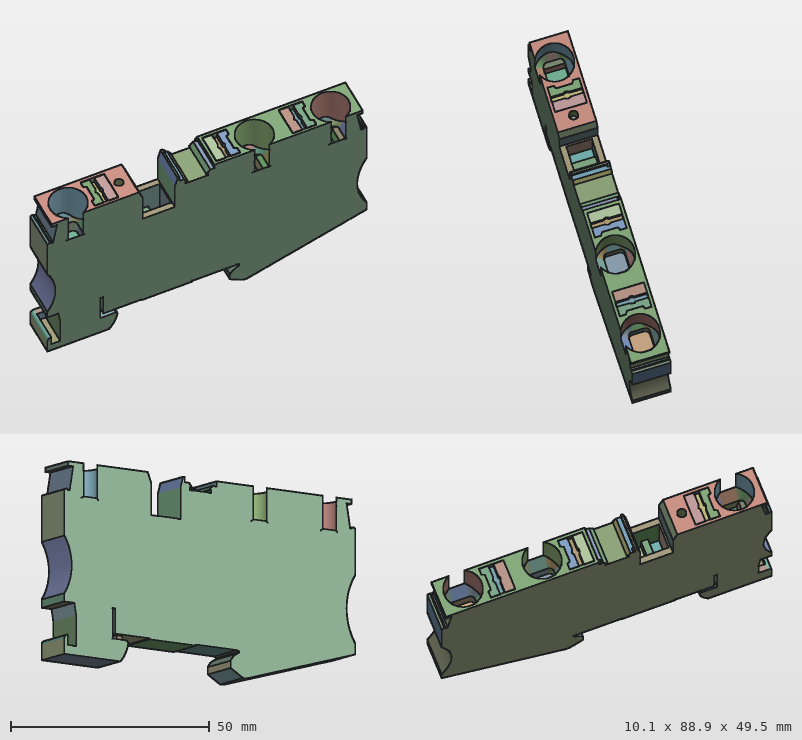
import cadquery as cq
import math

THICKNESS = 10.1
LENGTH = 88.9
HEIGHT = 49.5
SIDE = THICKNESS / 2
END = LENGTH / 2

LIP_Y = 43.3
LIP_BOTTOM = HEIGHT - 1.2
NECK_TOP_Y = 41.8
NECK_BOTTOM_Y = 42.85
SHELF_Z = 42.1
RIDGE_Y = 43.7
RIDGE_HEIGHT = 0.4

SCALLOP_TOP = 30.3
BACK_SCALLOP_BOTTOM = 12.6
BACK_SCALLOP_DEPTH = 2.7
FRONT_SCALLOP_BOTTOM = 15.6
FRONT_SCALLOP_DEPTH = 2.2

RAIL_SEAT_Z = 6.9
SEAT_PAD_HEIGHT = 0.3
SEAT_PAD_Y = (-4.2, -18.4)
BACK_CORNER_Z = 10.0
SPRING_SLOT_Y = (-28.9, -29.7)
NOTCH_CEILING_Z = 13.4
FOOT_HOOK_Z = 5.6
FOOT_TIP_Y = -24.9
FOOT_TIP_CHAMFER = 0.5
FOOT_HEEL_Y = -27.3
FOOT_CURVE_POINT = (-25.6, 2.6)
BACK_HOOK_MOUTH = [(8.2, RAIL_SEAT_Z), (9.0, 6.7), (8.8, 6.2)]
BACK_HOOK_CURVE_POINT = (7.4, 5.4)
BACK_HOOK_NOSE_Y = 6.3
BACK_HOOK_NOSE_Z = (4.0, 2.1)
BACK_FOOT_FLAT_Y = (10.05, 11.1)
FOOT_TOP_Z = 5.1
FOOT_EDGE_RADIUS = 1.1
FOOT_WALL_Y = -40.9
FOOT_WALL_KNEE_Z = 10.4
FOOT_WALL_LEAN = 0.5

CHANNEL_FLOOR_Z = 46.3
CHANNEL_UNDERCUT = 0.7
CHANNEL_STEP_Z = 48.2
CHANNEL_BACK_Y = 2.05
CHANNEL_FRONT_Y = -7.65
CHANNEL_FLOOR_Y = (0.4, -6.05)
BACK_STEP_EDGE_Y = 0.9
FRONT_STEP_EDGE_Y = -6.4
UNDERCUT_REACH = 0.6
CATCH_WIDTH = 0.8
CATCH_REACH = 0.6
BRIDGE_SLOT_FLOOR = 38.6
BRIDGE_SLOT_BACK_Y = -9.0
BRIDGE_SLOT_FRONT_Y = -17.9
BRIDGE_SLOT_BEVEL_Z = 46.7
BACK_BEVEL = 0.8
FRONT_BEVEL = 1.2

CORE_WIDTH = 6.8
POCKET_Y = (-17.3, -9.25)
POCKET_DEPTH = 10.7
BAR_Y = (-14.3, -12.45)
BAR_DROP = 7.1

WIRE_ENTRIES = [(36.5, 1), (15.3, 1), (-36.5, -1)]
ENTRY_X = 0.5
ENTRY_RADIUS = 5.0
ENTRY_DEPTH = 8.0
FUNNEL_DEPTH = 4.45
FUNNEL_TAPER = 30.0
THROAT_WIDTH = 5.6
THROAT_INNER = -3.65
THROAT_OUTER = 3.3
THROAT_CORNER = 1.25
THROAT_DEPTH = 3.6
LEDGE_CREST = 2.0
LEDGE_FOOT = 1.4
LEDGE_DROP = 0.8

BUTTON_WIDTH = 8.4
BUTTON_NEAR = 5.7
BUTTON_FAR = 12.3
BUTTON_RECESS = 0.3
BUTTON_NOTCH_DEPTH = 0.8
BUTTON_NOTCH_WIDTHS = (5.0, 4.3)
BUTTON_GROOVE_AT = 8.9
BUTTON_GROOVE_WIDTH = 1.3
BUTTON_GROOVE_DEPTH = 1.8
BUTTON_EYE_RADIUS = 1.0

TEST_HOLE_Y = -22.1
TEST_HOLE_RADIUS = 1.2
TEST_HOLE_DEPTH = 7.1
TEST_HOLE_FLOOR_RISE = 1.3

FOOT_POCKET_LENGTH = 2.5
FOOT_POCKET_DEPTH = 2.7
WEB_Y = (-27.4, -25.7)


def box(x_range, y_range, z_range):
    """Box spanning the given ranges."""
    size = [abs(r[1] - r[0]) for r in (x_range, y_range, z_range)]
    low = [min(r) for r in (x_range, y_range, z_range)]
    return cq.Workplane("XY").box(*size, centered=False).translate(tuple(low))


def centred(width):
    """Range of the given width centred on zero."""
    return (-width / 2, width / 2)


def body():
    """Side profile, from the marker channel round the front end, feet and back end, extruded."""
    scallop_middle_front = (SCALLOP_TOP + FRONT_SCALLOP_BOTTOM) / 2
    scallop_middle_back = (SCALLOP_TOP + BACK_SCALLOP_BOTTOM) / 2
    round_middle = FOOT_EDGE_RADIUS * (1 - math.sqrt(0.5))
    lip_to_end = [
        (LIP_Y, HEIGHT),
        (LIP_Y, LIP_BOTTOM),
        (NECK_TOP_Y, LIP_BOTTOM),
        (NECK_BOTTOM_Y, SHELF_Z),
        (RIDGE_Y - RIDGE_HEIGHT, SHELF_Z),
        (RIDGE_Y, SHELF_Z + RIDGE_HEIGHT),
        (END, SHELF_Z),
        (END, SCALLOP_TOP),
    ]
    marker_channel = [
        (CHANNEL_BACK_Y, HEIGHT),
        (CHANNEL_BACK_Y, CHANNEL_STEP_Z),
        (BACK_STEP_EDGE_Y, CHANNEL_STEP_Z),
        (CHANNEL_FLOOR_Y[0] - UNDERCUT_REACH, CHANNEL_FLOOR_Z + CHANNEL_UNDERCUT),
        (CHANNEL_FLOOR_Y[0], CHANNEL_FLOOR_Z + CHANNEL_UNDERCUT),
        (CHANNEL_FLOOR_Y[0], CHANNEL_FLOOR_Z),
        (CHANNEL_FLOOR_Y[1], CHANNEL_FLOOR_Z),
        (CHANNEL_FLOOR_Y[1], CHANNEL_FLOOR_Z + CHANNEL_UNDERCUT),
        (CHANNEL_FLOOR_Y[1] + UNDERCUT_REACH, CHANNEL_FLOOR_Z + CHANNEL_UNDERCUT),
        (FRONT_STEP_EDGE_Y, CHANNEL_STEP_Z),
        (CHANNEL_FRONT_Y, CHANNEL_STEP_Z),
        (CHANNEL_FRONT_Y, HEIGHT),
    ]
    bridge_slot = [
        (BRIDGE_SLOT_BACK_Y + BACK_BEVEL, HEIGHT),
        (BRIDGE_SLOT_BACK_Y, BRIDGE_SLOT_BEVEL_Z),
        (BRIDGE_SLOT_BACK_Y, BRIDGE_SLOT_FLOOR),
        (BRIDGE_SLOT_FRONT_Y, BRIDGE_SLOT_FLOOR),
        (BRIDGE_SLOT_FRONT_Y, BRIDGE_SLOT_BEVEL_Z),
        (BRIDGE_SLOT_FRONT_Y - FRONT_BEVEL, HEIGHT),
    ]
    front_notch = [
        (-END, NOTCH_CEILING_Z),
        (FOOT_WALL_Y - FOOT_WALL_LEAN, NOTCH_CEILING_Z),
        (FOOT_WALL_Y, FOOT_WALL_KNEE_Z),
        (FOOT_WALL_Y, FOOT_TOP_Z),
        (-END + FOOT_EDGE_RADIUS, FOOT_TOP_Z),
    ]
    spring_slot_and_seat = [
        (FOOT_TIP_Y - FOOT_TIP_CHAMFER, FOOT_HOOK_Z),
        (SPRING_SLOT_Y[1], FOOT_HOOK_Z),
        (SPRING_SLOT_Y[1], NOTCH_CEILING_Z),
        (SPRING_SLOT_Y[0], NOTCH_CEILING_Z),
        (SPRING_SLOT_Y[0], RAIL_SEAT_Z),
        (SEAT_PAD_Y[1], RAIL_SEAT_Z),
        (SEAT_PAD_Y[1], RAIL_SEAT_Z - SEAT_PAD_HEIGHT),
        (SEAT_PAD_Y[0], RAIL_SEAT_Z - SEAT_PAD_HEIGHT),
        (SEAT_PAD_Y[0], RAIL_SEAT_Z),
        *BACK_HOOK_MOUTH,
    ]
    back_foot = [
        (BACK_HOOK_NOSE_Y, BACK_HOOK_NOSE_Z[1]),
        (BACK_FOOT_FLAT_Y[0], 0),
        (BACK_FOOT_FLAT_Y[1], 0),
        (END, BACK_CORNER_Z),
        (END, BACK_SCALLOP_BOTTOM),
    ]
    front_end = [(-y, z) for y, z in lip_to_end]
    profile = (
        cq.Workplane("YZ")
        .polyline(marker_channel + bridge_slot + front_end)
        .threePointArc((-END + FRONT_SCALLOP_DEPTH, scallop_middle_front), (-END, FRONT_SCALLOP_BOTTOM))
    )
    for point in front_notch:
        profile = profile.lineTo(*point)
    profile = (
        profile
        .threePointArc(
            (-END + round_middle, FOOT_TOP_Z - round_middle),
            (-END, FOOT_TOP_Z - FOOT_EDGE_RADIUS),
        )
        .lineTo(-END, 0)
        .lineTo(FOOT_HEEL_Y, 0)
        .threePointArc(FOOT_CURVE_POINT, (FOOT_TIP_Y, FOOT_HOOK_Z - FOOT_TIP_CHAMFER))
    )
    for point in spring_slot_and_seat:
        profile = profile.lineTo(*point)
    profile = profile.threePointArc(BACK_HOOK_CURVE_POINT, (BACK_HOOK_NOSE_Y, BACK_HOOK_NOSE_Z[0]))
    for point in back_foot:
        profile = profile.lineTo(*point)
    profile = profile.threePointArc((END - BACK_SCALLOP_DEPTH, scallop_middle_back), (END, SCALLOP_TOP))
    for point in reversed(lip_to_end[:-1]):
        profile = profile.lineTo(*point)
    return profile.close().extrude(SIDE, both=True)


def marker_catch(wall_y, direction):
    """Small pointed tab over the marker channel, at the -X side only."""
    return (
        cq.Workplane("YZ", origin=(-SIDE, 0, 0))
        .polyline([
            (wall_y, HEIGHT),
            (wall_y + direction * CATCH_REACH, HEIGHT - CATCH_REACH),
            (wall_y, HEIGHT - CATCH_REACH),
        ])
        .close()
        .extrude(CATCH_WIDTH)
    )


def wire_entry():
    """Cutter for a wire entry at the origin, its outer side towards +Y and its top at Z = 0."""
    bottom = -ENTRY_DEPTH - FUNNEL_DEPTH
    throat_length = THROAT_OUTER - THROAT_INNER
    throat_y = (THROAT_OUTER + THROAT_INNER) / 2
    bore = cq.Workplane("XY").center(ENTRY_X, 0).circle(ENTRY_RADIUS).extrude(bottom)
    throat_outline = cq.Sketch().rect(THROAT_WIDTH, throat_length).vertices().fillet(THROAT_CORNER)
    funnel = (
        cq.Workplane("XY", origin=(0, throat_y, bottom))
        .placeSketch(throat_outline)
        .extrude(FUNNEL_DEPTH, taper=-FUNNEL_TAPER)
    )
    mouth = cq.Workplane("XY").center(ENTRY_X, 0).circle(ENTRY_RADIUS).extrude(-ENTRY_DEPTH)
    throat = (
        cq.Workplane("XY", origin=(0, throat_y, bottom))
        .placeSketch(throat_outline)
        .extrude(-THROAT_DEPTH)
    )
    ledge = (
        cq.Workplane("YZ")
        .polyline([
            (THROAT_OUTER, bottom),
            (LEDGE_CREST, bottom - LEDGE_DROP),
            (LEDGE_FOOT, bottom - THROAT_DEPTH),
            (THROAT_OUTER, bottom - THROAT_DEPTH),
        ])
        .close()
        .extrude(THROAT_WIDTH / 2, both=True)
    )
    return mouth.union(funnel.intersect(bore)).union(throat.cut(ledge))


def release_button():
    """Cutter for a button face and its groove, on the -Y side of an entry at the origin."""
    half = BUTTON_WIDTH / 2
    notch_mouth, notch_floor = (width / 2 for width in BUTTON_NOTCH_WIDTHS)
    notch_y = -BUTTON_NEAR - BUTTON_NOTCH_DEPTH
    face = (
        cq.Workplane("XY")
        .polyline([
            (-half, -BUTTON_FAR),
            (half, -BUTTON_FAR),
            (half, -BUTTON_NEAR),
            (notch_mouth, -BUTTON_NEAR),
            (notch_floor, notch_y),
            (-notch_floor, notch_y),
            (-notch_mouth, -BUTTON_NEAR),
            (-half, -BUTTON_NEAR),
        ])
        .close()
        .extrude(-BUTTON_RECESS)
    )
    groove_plane = cq.Workplane("XY").center(0, -BUTTON_GROOVE_AT)
    groove = groove_plane.rect(BUTTON_WIDTH, BUTTON_GROOVE_WIDTH).extrude(-BUTTON_GROOVE_DEPTH)
    eye = groove_plane.circle(BUTTON_EYE_RADIUS).extrude(-BUTTON_GROOVE_DEPTH)
    return face.union(groove).union(eye)


def bridge_pocket():
    """Pocket below the bridge slot, leaving a low bar across it."""
    floor = BRIDGE_SLOT_FLOOR - POCKET_DEPTH
    pocket = box(centred(CORE_WIDTH), POCKET_Y, (floor, BRIDGE_SLOT_FLOOR))
    bar = box(centred(CORE_WIDTH), BAR_Y, (floor, BRIDGE_SLOT_FLOOR - BAR_DROP))
    return pocket.cut(bar)


def test_hole():
    """Round blind hole in the top, its floor sloping down towards +Y."""
    floor = HEIGHT - TEST_HOLE_DEPTH
    bore = (
        cq.Workplane("XY", origin=(0, TEST_HOLE_Y, HEIGHT))
        .circle(TEST_HOLE_RADIUS)
        .extrude(-TEST_HOLE_DEPTH)
    )
    floor_wedge = (
        cq.Workplane("YZ")
        .polyline([
            (TEST_HOLE_Y - TEST_HOLE_RADIUS, floor),
            (TEST_HOLE_Y + TEST_HOLE_RADIUS, floor),
            (TEST_HOLE_Y - TEST_HOLE_RADIUS, floor + TEST_HOLE_FLOOR_RISE),
        ])
        .close()
        .extrude(TEST_HOLE_RADIUS, both=True)
    )
    return bore.cut(floor_wedge)


def foot_pocket():
    """Pocket in the top of the front foot, against the foot wall and open at the +X side."""
    return box(
        (-CORE_WIDTH / 2, SIDE),
        (FOOT_WALL_Y - FOOT_POCKET_LENGTH, FOOT_WALL_Y),
        (FOOT_TOP_Z - FOOT_POCKET_DEPTH, FOOT_TOP_Z),
    )


def foot_web():
    """Web, set in from both sides, joining the front foot hook to the body above it."""
    return box(centred(CORE_WIDTH), WEB_Y, (FOOT_HOOK_Z, RAIL_SEAT_Z))


result = (
    body()
    .union(marker_catch(CHANNEL_BACK_Y, -1))
    .union(marker_catch(CHANNEL_FRONT_Y, 1))
    .union(foot_web())
    .cut(bridge_pocket())
    .cut(test_hole())
    .cut(foot_pocket())
)

entry_cutter = wire_entry().union(release_button())
for entry_y, outward in WIRE_ENTRIES:
    cutter = entry_cutter if outward > 0 else entry_cutter.mirror("XZ")
    result = result.cut(cutter.translate((0, entry_y, HEIGHT)))